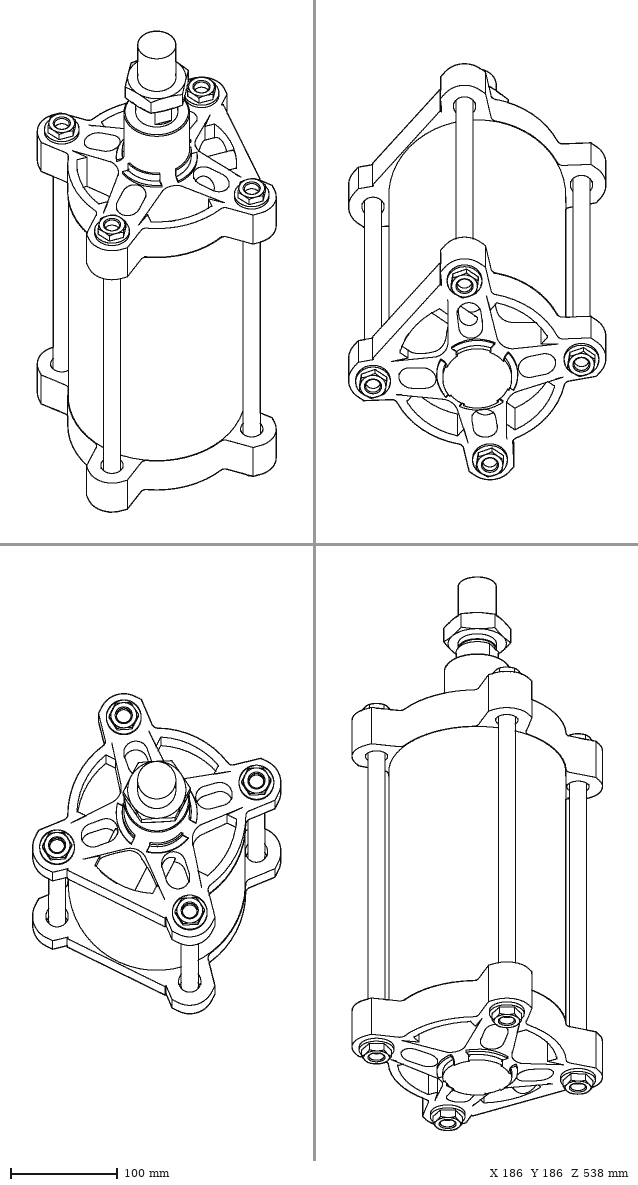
import cadquery as cq
import math

total_height = 538.0
boss_height = 16.5
collar_ring_height = 20.0
cap_thickness = 40.0
barrel_length = 278.5
collar_top = 446.5
barrel_bottom = boss_height + cap_thickness
barrel_top = barrel_bottom + barrel_length

barrel_diameter = 167.0
cap_diameter = 168.0
corner_offset = 70.0
lug_radius = 23.0
lug_reach = corner_offset + lug_radius
lug_flat_end = 63.0
lug_side_angle = 40.5
lug_side_length = 54.0
valley_radius = 5.5
port_face_y = 85.0
port_face_width = 103.5

arm_slope = 0.2
arm_reach = 79.0
window_apex = 35.0
window_wall_slope = 0.79
window_tip_radius = 16.0
window_width = 61.0
window_outer_radius = 75.5
cutter_height = cap_thickness + boss_height
pocket_radius = 11.5
pocket_inner = 50.5
pocket_outer = 63.0

main_duct_radius = 17.0
main_duct_x = 13.5
main_duct_z = 21.0
side_duct_radius = 10.0
side_duct_x = -22.0
duct_web_top = 15.0
duct_blend = 6.5

collar_diameter = 62.0
collar_chamfer = 1.0
hub_diameter = 76.5
hub_height = 11.0
ring_diameter = 65.0
hub_base_radius = 36.5
hub_base_height = 8.5
notch_width = 16.0

tie_rod_diameter = 16.0
tie_rod_clearance = 21.0
flange_diameter = 33.0
flange_height = 3.0
tie_nut_width = 24.0
tie_nut_height = 11.5
tie_nut_bore = 14.0
tie_nut_bore_depth = 8.0
tie_nut_mouth_chamfer = 1.0
tie_nut_chamfer_angle = 30.0

rod_diameter = 40.0
thread_diameter = 36.0
undercut_diameter = 34.0
undercut_bottom = 466.0
undercut_top = 470.0
flats_width = 36.0
flats_bottom = 450.0
lock_nut_width = 55.0
lock_nut_bottom = 475.5
lock_nut_top = 493.5
lock_nut_chamfer_angle = 20.0

corners = [(sx * corner_offset, sy * corner_offset) for sx in (-1, 1) for sy in (-1, 1)]


def disc(diameter, bottom, top):
    return cq.Workplane("XY").workplane(offset=bottom).circle(diameter / 2).extrude(top - bottom)


def hexagon(width, bottom, top):
    """Hexagonal prism whose flats face -X and +X."""
    across_corners = width / math.cos(math.pi / 6)
    prism = cq.Workplane("XY").polygon(6, across_corners).extrude(top - bottom)
    return prism.rotate((0, 0, 0), (0, 0, 1), 30).translate((0, 0, bottom))


def chamfer_cone(width, bottom, top, angle):
    """Double cone that takes the corners off both ends of a hexagon."""
    corner_radius = width / math.sqrt(3)
    drop = (corner_radius - width / 2) * math.tan(math.radians(angle))
    profile = [
        (0, bottom), (width / 2, bottom), (corner_radius, bottom + drop),
        (corner_radius, top - drop), (width / 2, top), (0, top),
    ]
    return cq.Workplane("XZ").polyline(profile).close().revolve(360, (0, 0), (0, 1))


def cap_plate():
    side_x = lug_side_length * math.cos(math.radians(lug_side_angle))
    side_y = lug_side_length * math.sin(math.radians(lug_side_angle))
    root_x = lug_flat_end - side_x
    root_y = lug_reach - side_y
    tip = corner_offset + lug_radius * math.sqrt(0.5)
    lug = (cq.Workplane("XY").moveTo(root_x, root_y)
           .lineTo(lug_flat_end, lug_reach).lineTo(corner_offset, lug_reach)
           .threePointArc((tip, tip), (lug_reach, corner_offset))
           .lineTo(lug_reach, lug_flat_end).lineTo(root_y, root_x).close()
           .extrude(cap_thickness))
    plate = disc(cap_diameter, 0, cap_thickness)
    for quarter in range(4):
        plate = plate.union(lug.rotate((0, 0, 0), (0, 0, 1), 90 * quarter))
    port_pad = cq.Workplane("XY").box(port_face_width, port_face_y, cap_thickness,
                                      centered=(True, False, False))
    plate = plate.union(port_pad)
    valleys = plate.edges("|Z").filter(
        lambda edge: abs(math.hypot(edge.Center().x, edge.Center().y) - cap_diameter / 2) < 0.5)
    return valleys.fillet(valley_radius)


def window_wedge(quarter):
    """Open V with a rounded tip, pointing at the axis from +X, turned by quarter turns."""
    length = cap_diameter
    half_width = length / window_wall_slope
    wedge = (cq.Workplane("XY")
             .polyline([(window_apex, 0), (window_apex + length, half_width),
                        (window_apex + length, -half_width)]).close()
             .extrude(cutter_height)
             .edges("|Z and <X").fillet(window_tip_radius))
    return wedge.rotate((0, 0, 0), (0, 0, 1), 90 * quarter)


def window(quarter):
    limit = cq.Workplane("XY").box(cap_diameter, window_width, cutter_height,
                                   centered=(True, True, False))
    limit = limit.rotate((0, 0, 0), (0, 0, 1), 90 * quarter)
    rim = disc(2 * window_outer_radius, 0, cutter_height)
    return window_wedge(quarter).intersect(limit).intersect(rim)


def arms():
    """Four sloping arms: a flat pyramid with the window wedges taken away."""
    side = 2 * arm_reach
    taper = math.degrees(math.atan(1 / arm_slope))
    roof = (cq.Workplane("XY").workplane(offset=cap_thickness).rect(side, side)
            .extrude(hub_base_height, taper=taper).rotate((0, 0, 0), (0, 0, 1), 45))
    for quarter in range(4):
        roof = roof.cut(window_wedge(quarter))
    return roof


def arm_pocket(quarter):
    length = pocket_outer - pocket_inner
    slot = (cq.Workplane("XY").center((pocket_inner + pocket_outer) / 2, 0)
            .slot2D(length + 2 * pocket_radius, 2 * pocket_radius)
            .extrude(cutter_height))
    return slot.rotate((0, 0, 0), (0, 0, 1), 45 + 90 * quarter)


def air_ducts():
    """Main duct and slimmer side duct, joined by a web, running from the axis to the port face."""
    length = window_outer_radius
    web_width = main_duct_x - side_duct_x
    web = cq.Workplane("XY").box(web_width, length, duct_web_top, centered=False)
    web = web.translate((side_duct_x, 0, 0))
    main_duct = (cq.Workplane("XZ").center(main_duct_x, main_duct_z)
                 .circle(main_duct_radius).extrude(-length))
    side_duct = (cq.Workplane("XZ").center(side_duct_x, duct_web_top)
                 .circle(side_duct_radius).extrude(-length))
    joined = web.union(main_duct)
    corner = joined.edges("|Y").filter(
        lambda edge: abs(edge.Center().z - duct_web_top) < 0.5
        and side_duct_x + side_duct_radius < edge.Center().x < main_duct_x)
    return corner.fillet(duct_blend).union(side_duct)


def hub(ring_height):
    """Ring on a stepped disc, both notched on the X and Y axes down to a flared base."""
    top = cap_thickness + ring_height
    step = cap_thickness + hub_height
    base = cap_thickness + hub_base_height
    ring = disc(hub_diameter, cap_thickness, step).union(disc(ring_diameter, step, top))
    for size in ((hub_diameter, notch_width), (notch_width, hub_diameter)):
        notch = cq.Workplane("XY").workplane(offset=base).rect(*size).extrude(ring_height)
        ring = ring.cut(notch)
    flare_radius = hub_base_radius - collar_diameter / 2
    bend = flare_radius * (1 - math.sqrt(0.5))
    flare = (cq.Workplane("XZ").moveTo(0, cap_thickness).lineTo(hub_base_radius, cap_thickness)
             .lineTo(hub_base_radius, base)
             .threePointArc((collar_diameter / 2 + bend, base + bend),
                            (collar_diameter / 2, base + flare_radius))
             .lineTo(0, base + flare_radius).close()
             .revolve(360, (0, 0), (0, 1)))
    core = disc(collar_diameter, cap_thickness, top)
    return ring.union(flare).union(core)


def tie_nut():
    """Flange nut standing on a cap's outer face, with the open end of its thread on top."""
    bottom = cap_thickness
    top = bottom + tie_nut_height
    nut = hexagon(tie_nut_width, bottom, top)
    nut = nut.intersect(chamfer_cone(tie_nut_width, bottom, top, tie_nut_chamfer_angle))
    nut = nut.union(disc(flange_diameter, bottom, bottom + flange_height))
    nut = nut.cut(disc(tie_nut_bore, top - tie_nut_bore_depth, top))
    return nut.edges(cq.selectors.RadiusNthSelector(0)).edges(">Z").chamfer(tie_nut_mouth_chamfer)


def cap(ring_height):
    body = cap_plate().union(arms())
    for quarter in range(4):
        body = body.cut(window(quarter)).cut(arm_pocket(quarter))
    body = body.union(air_ducts()).union(hub(ring_height))
    body = body.cut(cq.Workplane("XY").pushPoints(corners)
                    .circle(tie_rod_clearance / 2).extrude(cap_thickness))
    nut = tie_nut()
    for x, y in corners:
        body = body.union(nut.translate((x, y, 0)))
    return body


def housing():
    upper_cap = cap(collar_ring_height).translate((0, 0, barrel_top))
    lower_cap = cap(boss_height).mirror("XY").translate((0, 0, barrel_bottom))
    cap_face = barrel_top + cap_thickness
    collar = disc(collar_diameter, cap_face, collar_top).faces(">Z").edges().chamfer(collar_chamfer)
    body = disc(barrel_diameter, barrel_bottom, barrel_top)
    body = body.union(lower_cap).union(upper_cap).union(collar)
    for x, y in corners:
        tie_rod = disc(tie_rod_diameter, boss_height, cap_face)
        body = body.union(tie_rod.translate((x, y, 0)))
    return body.cut(disc(rod_diameter, barrel_top, collar_top))


def piston_rod():
    rod = disc(rod_diameter, barrel_top, undercut_bottom)
    for side in (-1, 1):
        flat = (cq.Workplane("XY").box(rod_diameter, rod_diameter, undercut_bottom - flats_bottom,
                                       centered=(True, True, False))
                .translate((side * (flats_width + rod_diameter) / 2, 0, flats_bottom)))
        rod = rod.cut(flat)
    rod = rod.union(disc(undercut_diameter, undercut_bottom, undercut_top))
    return rod.union(disc(thread_diameter, undercut_top, total_height))


def lock_nut():
    nut = hexagon(lock_nut_width, lock_nut_bottom, lock_nut_top)
    nut = nut.intersect(chamfer_cone(lock_nut_width, lock_nut_bottom, lock_nut_top,
                                     lock_nut_chamfer_angle))
    return nut.cut(disc(thread_diameter, lock_nut_bottom, lock_nut_top))


result = cq.Compound.makeCompound([housing().val(), piston_rod().val(), lock_nut().val()])